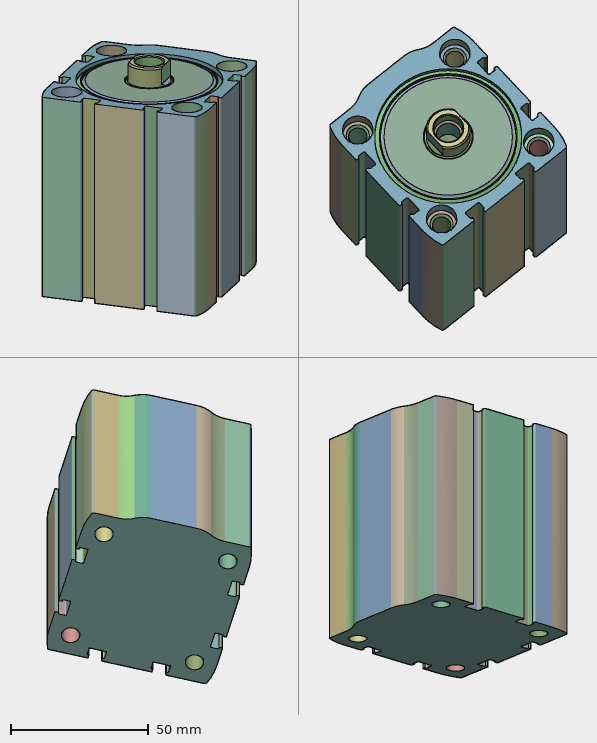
import cadquery as cq
import math

total_height = 84.0
rod_projection = 7.0
housing_height = total_height - rod_projection

housing_width = 63.0
half_width = housing_width / 2
flank_arc_start = 22.4
corner_half_span = 29.7
corner_radius = 0.8
crown_height = 3.0
crown_half_top = 8.65
crown_half_foot = 20.0

slot_offset = 12.0
slot_opening = 5.0
slot_inner_width = 6.55
slot_depth = 4.45
slot_lip = 1.35
slot_edge_radius = 0.4

mount_offset = 23.3
counterbore_diameter = 11.0
counterbore_depth = 4.95
countersink_diameter = 8.4
mount_hole_diameter = 6.6

bore_diameter = 53.3
cover_shoulder_diameter = 50.0
cover_face_diameter = 46.5
shoulder_inner_diameter = 49.1
cover_step_diameter = 47.9
cover_drop = 0.3
shoulder_drop = 0.6
cover_step_drop = 0.75
seam_depth = 1.35
bore_groove_depth = 1.8

scraper_diameter = 18.1
scraper_chamfer = 0.3
scraper_drop = 0.5
scraper_groove_depth = 1.35

rod_diameter = 16.0
rod_length = 33.6
rod_chamfer = 0.6
across_flats = 13.0
flat_bottom = 0.4
rod_bore_diameter = 10.5
rod_bore_mouth_diameter = 11.25
rod_bore_depth = 4.8
rod_drill_diameter = 8.6
rod_drill_depth = 15.1
drill_point_angle = 120.0
drill_slope = 1 / math.tan(math.radians(drill_point_angle / 2))


def revolved(profile):
    """Solid of revolution about Z from (radius, height) points."""
    return cq.Workplane("XZ").polyline(profile).close().revolve(360, (0, 0), (0, 1))


def housing_block():
    arc_rise = half_width - flank_arc_start
    arc_inset = half_width - corner_half_span
    arc_radius = (arc_rise**2 + arc_inset**2) / (2 * arc_inset)
    half_angle = math.asin(arc_rise / arc_radius) / 2
    mid_x = half_width - arc_radius * (1 - math.cos(half_angle))
    mid_y = flank_arc_start + arc_radius * math.sin(half_angle)
    crown_mid_x = (crown_half_top + crown_half_foot) / 2
    crown_mid_y = half_width + crown_height / 2
    crown_y = half_width + crown_height
    block = (
        cq.Workplane("XY")
        .moveTo(-corner_half_span, -half_width)
        .lineTo(corner_half_span, -half_width)
        .threePointArc((mid_x, -mid_y), (half_width, -flank_arc_start))
        .lineTo(half_width, flank_arc_start)
        .threePointArc((mid_x, mid_y), (corner_half_span, half_width))
        .lineTo(crown_half_foot, half_width)
        .tangentArcPoint((crown_mid_x, crown_mid_y), relative=False)
        .tangentArcPoint((crown_half_top, crown_y), relative=False)
        .lineTo(-crown_half_top, crown_y)
        .tangentArcPoint((-crown_mid_x, crown_mid_y), relative=False)
        .tangentArcPoint((-crown_half_foot, half_width), relative=False)
        .lineTo(-corner_half_span, half_width)
        .threePointArc((-mid_x, mid_y), (-half_width, flank_arc_start))
        .lineTo(-half_width, -flank_arc_start)
        .threePointArc((-mid_x, -mid_y), (-corner_half_span, -half_width))
        .close()
        .extrude(housing_height)
    )
    for x in (-corner_half_span, corner_half_span):
        for y in (-half_width, half_width):
            corner = cq.selectors.BoxSelector(
                (x - corner_radius, y - corner_radius, 0),
                (x + corner_radius, y + corner_radius, housing_height),
            )
            block = block.edges("|Z").edges(corner).fillet(corner_radius)
    return block


def sensor_slot():
    """T-slot cutter along Z, opening through the -Y face at X = 0, with rounded mouth edges."""
    face_y = -half_width
    lip_y = face_y + slot_lip
    floor_y = face_y + slot_depth
    half_opening = slot_opening / 2
    radius = slot_edge_radius
    undercut = (
        cq.Workplane("XY")
        .moveTo(0, (lip_y + floor_y) / 2)
        .rect(slot_inner_width, floor_y - lip_y)
        .extrude(housing_height)
        .edges("|Z")
        .fillet(radius)
    )
    mid = radius * (1 - math.sqrt(0.5))
    mouth = (
        cq.Workplane("XY")
        .moveTo(half_opening, lip_y + radius)
        .lineTo(half_opening, face_y + radius)
        .threePointArc((half_opening + mid, face_y + mid), (half_opening + radius, face_y))
        .lineTo(-half_opening - radius, face_y)
        .threePointArc((-half_opening - mid, face_y + mid), (-half_opening, face_y + radius))
        .lineTo(-half_opening, lip_y + radius)
        .close()
        .extrude(housing_height)
    )
    return undercut.union(mouth)


def mounting_hole():
    """Counterbored and countersunk through hole on the Z axis."""
    floor = housing_height - counterbore_depth
    hole_radius = mount_hole_diameter / 2
    sink_radius = countersink_diameter / 2
    return revolved([
        (0, 0),
        (hole_radius, 0),
        (hole_radius, floor - (sink_radius - hole_radius)),
        (sink_radius, floor),
        (counterbore_diameter / 2, floor),
        (counterbore_diameter / 2, housing_height),
        (0, housing_height),
    ])


def cover_recess():
    """Space above the sunk cover: groove at the bore wall, cover edge, scraper groove."""
    face = housing_height - cover_drop
    scraper_wall_radius = scraper_diameter / 2 - scraper_chamfer
    return revolved([
        (0, housing_height),
        (bore_diameter / 2, housing_height),
        (bore_diameter / 2, housing_height - bore_groove_depth),
        (cover_shoulder_diameter / 2, housing_height - shoulder_drop),
        (shoulder_inner_diameter / 2, housing_height - shoulder_drop),
        (shoulder_inner_diameter / 2, housing_height - seam_depth),
        (cover_step_diameter / 2, housing_height - cover_step_drop),
        (cover_face_diameter / 2, face),
        (scraper_diameter / 2, face),
        (scraper_wall_radius, face - scraper_chamfer),
        (scraper_wall_radius, housing_height - scraper_groove_depth),
        (rod_diameter / 2, housing_height - scraper_drop),
        (0, housing_height - scraper_drop),
    ])


def make_housing():
    housing = housing_block()
    for turn in (0, 90, -90):
        for side in (-1, 1):
            slot = sensor_slot().translate((side * slot_offset, 0, 0))
            housing = housing.cut(slot.rotate((0, 0, 0), (0, 0, 1), turn))
    for x in (-mount_offset, mount_offset):
        for y in (-mount_offset, mount_offset):
            housing = housing.cut(mounting_hole().translate((x, y, 0)))
    rod_seat = (
        cq.Workplane("XY", origin=(0, 0, total_height - rod_length))
        .circle(rod_diameter / 2)
        .extrude(rod_length)
    )
    return housing.cut(cover_recess()).cut(rod_seat)


def rod_bore():
    bore_radius = rod_bore_diameter / 2
    mouth_radius = rod_bore_mouth_diameter / 2
    drill_radius = rod_drill_diameter / 2
    bore_bottom = total_height - rod_bore_depth
    drill_bottom = total_height - rod_drill_depth
    return revolved([
        (0, total_height),
        (mouth_radius, total_height),
        (bore_radius, total_height - (mouth_radius - bore_radius)),
        (bore_radius, bore_bottom),
        (drill_radius, bore_bottom - (bore_radius - drill_radius) * drill_slope),
        (drill_radius, drill_bottom),
        (0, drill_bottom - drill_radius * drill_slope),
    ])


def wrench_flat():
    """Cutter for the flat on the +X side, running out on a 45 degree slope."""
    flat_x = across_flats / 2
    flat_z = housing_height + flat_bottom
    reach = rod_diameter / 2
    return (
        cq.Workplane("XZ")
        .polyline([
            (flat_x, total_height),
            (flat_x, flat_z),
            (reach, flat_z - (reach - flat_x)),
            (reach, total_height),
        ])
        .close()
        .extrude(reach, both=True)
    )


def make_rod():
    rod = (
        cq.Workplane("XY", origin=(0, 0, total_height - rod_length))
        .circle(rod_diameter / 2)
        .extrude(rod_length)
        .faces(">Z")
        .chamfer(rod_chamfer)
    )
    flat = wrench_flat()
    rod = rod.cut(flat).cut(flat.mirror("YZ"))
    return rod.cut(rod_bore())


housing = make_housing()
rod = make_rod()
result = cq.Compound.makeCompound([housing.val(), rod.val()])